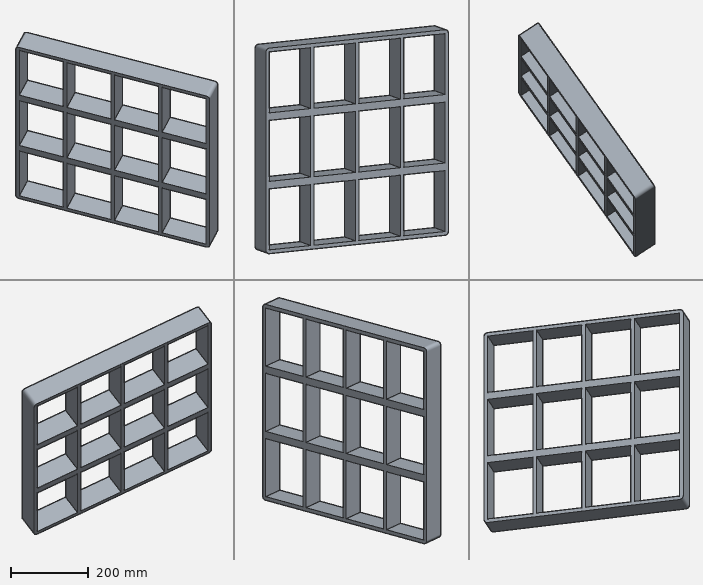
import cadquery as cq

width = 532.0
depth = 60.0
height = 538.5
corner_radius = 10.0

columns = 4
rows = 3
border = 10.0
upright = 10.0
shelf = 20.0

opening_width = (width - 2 * border - (columns - 1) * upright) / columns
opening_height = (height - 2 * border - (rows - 1) * shelf) / rows


def outer_block():
    """Solid panel with its four corner edges along Y rounded."""
    return cq.Workplane("XY").box(width, depth, height).edges("|Y").fillet(corner_radius)


def openings():
    """Grid of rectangular openings passing through the full depth."""
    return (
        cq.Workplane("XZ")
        .rarray(opening_width + upright, opening_height + shelf, columns, rows)
        .rect(opening_width, opening_height)
        .extrude(depth, both=True)
    )


result = outer_block().cut(openings())